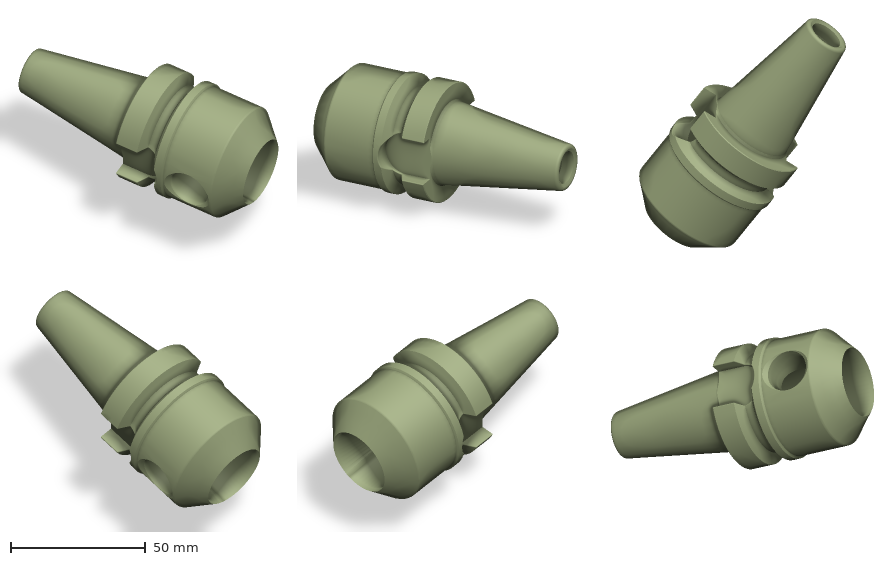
import cadquery as cq
import math

length = 99.2
rim_x = 1.2
taper_ratio = 7 / 24
gauge_diameter = 31.7
gauge_x = 48.3
relief_diameter = 32.9
relief_sag = 0.35
flange_x = 49.3
flange_diameter = 46.0
flange_edge = 0.3
groove_diameter = 37.9
groove_start, groove_end = 60.7, 64.0
flank_length = 2.4
collar_end = 69.4
body_diameter = 44.4
body_x = 70.1
nose_x = 90.1
nose_round = 1.0
nose_edge = 0.4

rim_edge = 1.4
mouth_diameter = 14.9
mouth_chamfer = 0.7
pilot_diameter = 12.5
pilot_depth = 5.5
thread_diameter = 10.1
tool_bore_diameter = 19.0
tool_bore_depth = 49.6

slot_width = 16.9
slot_floor = 16.0
slot_tip_x = 67.6
slot_round = 0.3

screw_x = 80.2
screw_diameter = 15.9
sink_radius = 9.5


def make_body():
    flange_radius = flange_diameter / 2
    groove_radius = groove_diameter / 2
    gauge_radius = gauge_diameter / 2
    body_radius = body_diameter / 2
    nose_radius = body_radius - (length - nose_edge - nose_x)
    rim_radius = gauge_radius - (gauge_x - rim_x) * taper_ratio / 2
    face_radius = rim_radius - rim_edge
    rim_mid = (rim_x * (1 - math.sqrt(0.5)), face_radius + rim_edge * math.sqrt(0.5))
    relief_radius = relief_diameter / 2
    relief_mid = ((gauge_x + flange_x) / 2, gauge_radius + (relief_radius - gauge_radius) * relief_sag)
    body = (
        cq.Workplane("XY")
        .moveTo(0, 0)
        .lineTo(0, face_radius)
        .threePointArc(rim_mid, (rim_x, rim_radius))
        .lineTo(gauge_x, gauge_radius)
        .threePointArc(relief_mid, (flange_x, relief_radius))
        .lineTo(flange_x, flange_radius - flange_edge)
        .lineTo(flange_x + flange_edge, flange_radius)
        .lineTo(groove_start - flank_length, flange_radius)
        .lineTo(groove_start, groove_radius)
        .lineTo(groove_end, groove_radius)
        .lineTo(groove_end + flank_length, flange_radius)
        .lineTo(collar_end, flange_radius)
        .lineTo(body_x, body_radius)
        .lineTo(nose_x, body_radius)
        .lineTo(length - nose_edge, nose_radius)
        .lineTo(length, nose_radius - nose_edge)
        .lineTo(length, 0)
        .close()
        .revolve(360, (0, 0, 0), (1, 0, 0))
    )
    nose_corner = cq.selectors.BoxSelector(
        (nose_x - nose_edge, -body_diameter, -body_diameter),
        (nose_x + nose_edge, body_diameter, body_diameter),
        boundingbox=True,
    )
    return body.edges(nose_corner).fillet(nose_round)


def make_axial_bores():
    mouth_radius = mouth_diameter / 2
    pilot_radius = pilot_diameter / 2
    thread_radius = thread_diameter / 2
    tool_radius = tool_bore_diameter / 2
    tool_bore_x = length - tool_bore_depth
    return (
        cq.Workplane("XY")
        .moveTo(0, 0)
        .lineTo(0, mouth_radius)
        .lineTo(mouth_chamfer, pilot_radius)
        .lineTo(pilot_depth, pilot_radius)
        .lineTo(pilot_depth, thread_radius)
        .lineTo(tool_bore_x, thread_radius)
        .lineTo(tool_bore_x, tool_radius)
        .lineTo(length, tool_radius)
        .lineTo(length, 0)
        .close()
        .revolve(360, (0, 0, 0), (1, 0, 0))
    )


def make_drive_slot(side):
    """Round-ended slot through the flange; side is -1 or 1 along Y."""
    end_radius = slot_width / 2
    arc_x = slot_tip_x - end_radius
    return (
        cq.Workplane("XZ", origin=(0, side * slot_floor, 0))
        .moveTo(gauge_x, -end_radius)
        .lineTo(arc_x, -end_radius)
        .threePointArc((slot_tip_x, 0), (arc_x, end_radius))
        .lineTo(gauge_x, end_radius)
        .close()
        .extrude(-side * flange_diameter / 2)
    )


def make_screw_hole():
    """Clamping screw hole from the -Y side to the tool bore, with a 45 degree countersink."""
    screw_radius = screw_diameter / 2
    surface = body_diameter / 2
    sink_bottom = surface - (sink_radius - screw_radius)
    return (
        cq.Workplane("XY")
        .moveTo(screw_x, 0)
        .lineTo(screw_x + screw_radius, 0)
        .lineTo(screw_x + screw_radius, -sink_bottom)
        .lineTo(screw_x + sink_radius, -surface)
        .lineTo(screw_x, -surface)
        .close()
        .revolve(360, (screw_x, 0, 0), (screw_x, 1, 0))
    )


def slot_rim(side):
    """Selector for the outer edges of one drive slot, leaving out its floor and the flange face."""
    margin = slot_round / 2
    half_width = slot_width / 2 + margin
    return cq.selectors.BoxSelector(
        (flange_x + margin, side * (slot_floor + margin), -half_width),
        (slot_tip_x + margin, side * flange_diameter, half_width),
        boundingbox=True,
    )


result = make_body().cut(make_axial_bores()).cut(make_screw_hole())
for side in (-1, 1):
    result = result.cut(make_drive_slot(side))
    result = result.edges(slot_rim(side)).fillet(slot_round)